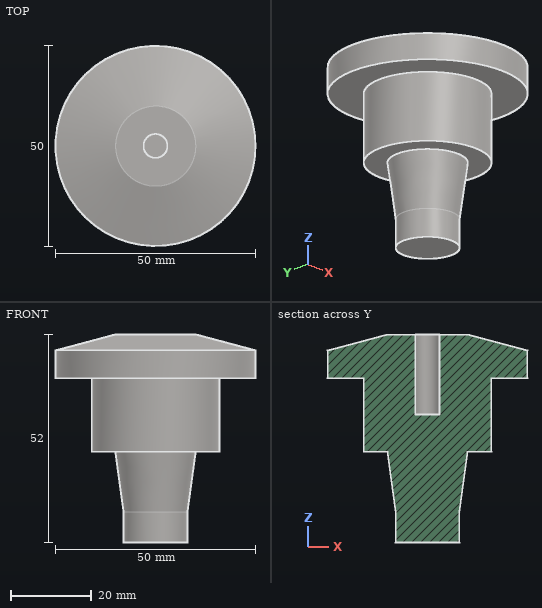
import cadquery as cq

total_height = 52.0
pin_height = 7.65
taper_height = 15.0
hub_height = 18.35
rim_height = 7.0

pin_diameter = 16.0
taper_top_diameter = 20.1
hub_diameter = 32.0
rim_diameter = 50.0
crown_flat_diameter = 20.0
hole_diameter = 6.0

hole_depth = 20.0

taper_bottom = pin_height
hub_bottom = taper_bottom + taper_height
rim_bottom = hub_bottom + hub_height
crown_bottom = rim_bottom + rim_height

body = (
    cq.Workplane("XZ")
    .moveTo(0, 0)
    .lineTo(pin_diameter / 2, 0)
    .lineTo(pin_diameter / 2, taper_bottom)
    .lineTo(taper_top_diameter / 2, hub_bottom)
    .lineTo(hub_diameter / 2, hub_bottom)
    .lineTo(hub_diameter / 2, rim_bottom)
    .lineTo(rim_diameter / 2, rim_bottom)
    .lineTo(rim_diameter / 2, crown_bottom)
    .lineTo(crown_flat_diameter / 2, total_height)
    .lineTo(0, total_height)
    .close()
    .revolve(360, (0, 0, 0), (0, 1, 0))
)

result = body.faces(">Z").workplane().hole(hole_diameter, hole_depth)